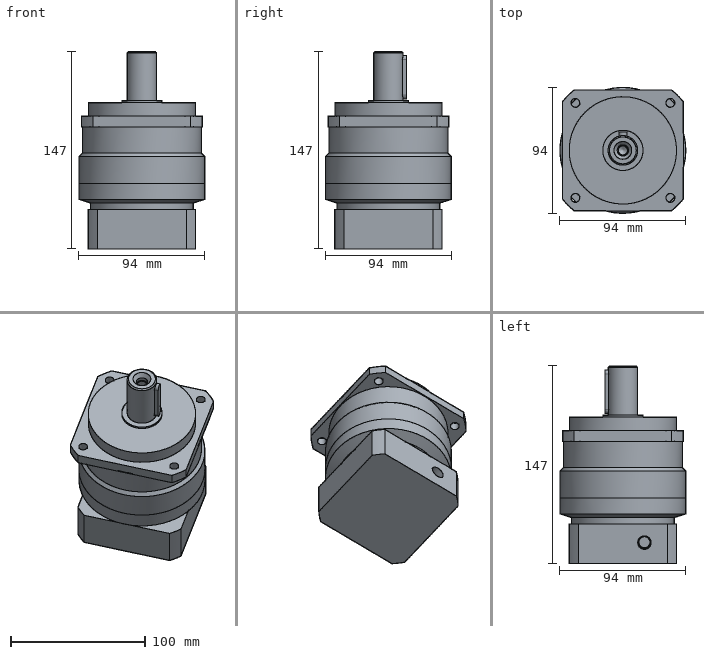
import cadquery as cq
import math


base_side = 80.0
base_corner_dia = 104.0
base_top = 29.5
neck_dia = 76.7
neck_top = 34.3
drum_dia = 94.0
drum_bottom = 37.0
joint_z = 48.8
access_hole_dia = 10.0
access_hole_y = -16.0
access_hole_z = 15.6
access_hole_depth = 17.6
boss_dia = 9.1
boss_height = 1.5
boss_chamfer = 0.5
boss_rise = 0.3

drum_top = 69.0
body_dia = 89.0
body_bottom = drum_top + (drum_dia - body_dia) / 2
flange_side = 90.0
flange_corner_dia = 115.7
flange_bottom = 91.0
flange_top = 99.0
bolt_hole_dia = 6.5
bolt_circle_dia = 100.0
bolt_count = 4
bolt_start_angle = 45
pilot_dia = 80.0
pilot_top = 109.1

collar_dia = 30.0
collar_top = 110.5
shaft_dia = 22.0
shaft_top = 147.0
shaft_chamfer = 1.0

sink_dia = 13.2
sink_depth = 3.2
counterbore_dia = 8.4
counterbore_depth = 6.0
drill_dia = 6.8
drill_depth = 19.1
drill_tip_angle = 118

key_width = 6.0
key_height = 6.0
key_length = 32.6
key_top_gap = 2.6
key_outer_y = 13.5


def revolve_profile(points):
    """Solid of revolution about Z from (radius, z) points."""
    return cq.Workplane("XZ").polyline(points).close().revolve(360, (0, 0, 0), (0, 1, 0))


def cylinder(diameter, z_from, z_to):
    return cq.Workplane("XY", origin=(0, 0, z_from)).circle(diameter / 2).extrude(z_to - z_from)


def rounded_plate(side, corner_dia, z_from, z_to):
    """Square plate whose corners follow a circle about the Z axis."""
    square = cq.Workplane("XY", origin=(0, 0, z_from)).rect(side, side).extrude(z_to - z_from)
    return square.intersect(cylinder(corner_dia, z_from, z_to))


def make_adapter():
    block = rounded_plate(base_side, base_corner_dia, 0, base_top)
    drum = revolve_profile([
        (0, base_top),
        (neck_dia / 2, base_top),
        (neck_dia / 2, neck_top),
        (drum_dia / 2, drum_bottom),
        (drum_dia / 2, joint_z),
        (0, joint_z),
    ])
    access_hole = (
        cq.Workplane("YZ", origin=(-base_side / 2, 0, 0))
        .center(access_hole_y, access_hole_z)
        .circle(access_hole_dia / 2)
        .extrude(access_hole_depth)
    )
    boss = (
        cq.Workplane("YZ", origin=(-base_side / 2 + access_hole_depth - boss_height, 0, 0))
        .center(access_hole_y, access_hole_z + boss_rise)
        .circle(boss_dia / 2)
        .extrude(boss_height)
        .faces("<X")
        .chamfer(boss_chamfer)
    )
    return block.union(drum).cut(access_hole.cut(boss))


def make_housing():
    drum_and_body = revolve_profile([
        (0, joint_z),
        (drum_dia / 2, joint_z),
        (drum_dia / 2, drum_top),
        (body_dia / 2, body_bottom),
        (body_dia / 2, flange_bottom),
        (0, flange_bottom),
    ])
    flange = rounded_plate(flange_side, flange_corner_dia, flange_bottom, flange_top)
    bolt_holes = (
        cq.Workplane("XY", origin=(0, 0, flange_bottom))
        .polarArray(bolt_circle_dia / 2, bolt_start_angle, 360, bolt_count)
        .circle(bolt_hole_dia / 2)
        .extrude(flange_top - flange_bottom)
    )
    pilot = cylinder(pilot_dia, flange_top, pilot_top)
    return drum_and_body.union(flange.cut(bolt_holes)).union(pilot)


def make_key():
    key_centre_z = shaft_top - key_top_gap - key_length / 2
    return (
        cq.Workplane("XZ", origin=(0, key_outer_y, key_centre_z))
        .slot2D(key_length, key_width, 90)
        .extrude(key_height)
    )


def make_shaft(key):
    collar = cylinder(collar_dia, pilot_top, collar_top)
    journal = cylinder(shaft_dia, collar_top, shaft_top).faces(">Z").chamfer(shaft_chamfer)
    tip_length = drill_dia / 2 / math.tan(math.radians(drill_tip_angle / 2))
    centre_hole = revolve_profile([
        (0, shaft_top),
        (sink_dia / 2, shaft_top),
        (counterbore_dia / 2, shaft_top - sink_depth),
        (counterbore_dia / 2, shaft_top - counterbore_depth),
        (drill_dia / 2, shaft_top - counterbore_depth),
        (drill_dia / 2, shaft_top - drill_depth),
        (0, shaft_top - drill_depth - tip_length),
    ])
    return collar.union(journal).cut(centre_hole).cut(key)


adapter = make_adapter()
housing = make_housing()
key = make_key()
shaft = make_shaft(key)

result = cq.Compound.makeCompound([adapter.val(), housing.val(), shaft.val(), key.val()])